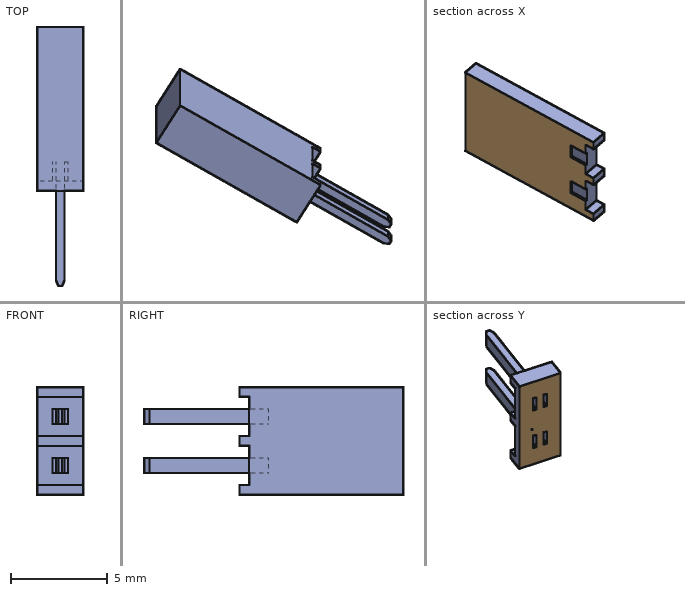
import cadquery as cq

width = 2.4
length = 13.44
height = 5.59

housing_length = 8.51
rib_depth = 0.51
rib_thickness = 0.51
pin_pitch = 2.54

pin_width = 0.45
pin_height = 0.79
tip_width = 0.2
tip_length = 0.27
pocket_width = 0.78
pocket_depth = 1.0

rear_y = length / 2
pin_tip_y = -length / 2
rib_face_y = rear_y - housing_length
recess_floor_y = rib_face_y + rib_depth
pocket_floor_y = recess_floor_y + pocket_depth
pin_levels = (-pin_pitch / 2, pin_pitch / 2)


def block(x_size, y_start, y_end, z_size, z_center=0):
    """Box centered on X and spanning y_start to y_end."""
    y_size = y_end - y_start
    y_center = (y_start + y_end) / 2
    return cq.Workplane("XY").box(x_size, y_size, z_size).translate((0, y_center, z_center))


def make_housing():
    """Block with three front ribs and a clearance pocket at each pin."""
    housing = block(width, recess_floor_y, rear_y, height)
    outer_rib_level = (height - rib_thickness) / 2
    for level in (-outer_rib_level, 0, outer_rib_level):
        housing = housing.union(block(width, rib_face_y, recess_floor_y, rib_thickness, level))
    for level in pin_levels:
        housing = housing.cut(block(pocket_width, recess_floor_y, pocket_floor_y, pin_height, level))
    return housing


def make_pin(level):
    """Flat pin rising from the pocket floor, its tip tapered in width."""
    taper_start_y = pin_tip_y + tip_length
    outline = [
        (-pin_width / 2, pocket_floor_y),
        (-pin_width / 2, taper_start_y),
        (-tip_width / 2, pin_tip_y),
        (tip_width / 2, pin_tip_y),
        (pin_width / 2, taper_start_y),
        (pin_width / 2, pocket_floor_y),
    ]
    bottom = level - pin_height / 2
    return cq.Workplane("XY").workplane(offset=bottom).polyline(outline).close().extrude(pin_height)


result = make_housing()
for pin_level in pin_levels:
    result = result.union(make_pin(pin_level))